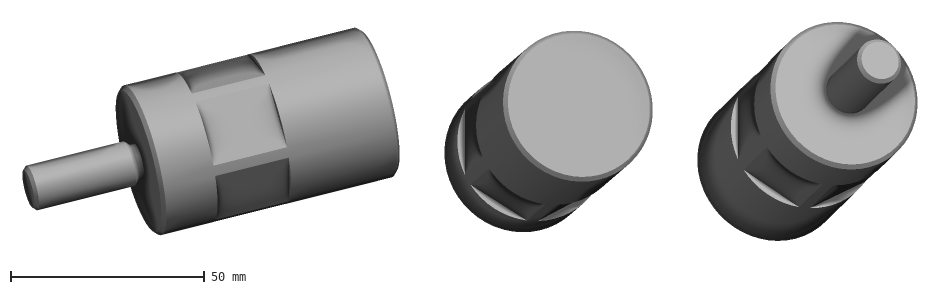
import cadquery as cq

total_length = 95.0
body_length = 65.0
stud_length = total_length - body_length

body_diameter = 40.0
body_chamfer = 1.0

across_flats = 36.0
flat_count = 6
flats_length = 20.0
collar_length = 15.0

stud_diameter = 12.0
stud_tip_diameter = 10.1
neck_diameter = 9.4
neck_length = 1.3
stud_chamfer = (stud_diameter - stud_tip_diameter) / 2
neck_taper = (stud_diameter - neck_diameter) / 2


def make_turned_blank():
    """Revolve body, neck and stud about Y; the stud-side body face is at Y = 0."""
    body_radius = body_diameter / 2
    stud_radius = stud_diameter / 2
    neck_radius = neck_diameter / 2
    profile = [
        (0, -stud_length),
        (stud_tip_diameter / 2, -stud_length),
        (stud_radius, -stud_length + stud_chamfer),
        (stud_radius, -neck_length - neck_taper),
        (neck_radius, -neck_length),
        (neck_radius, 0),
        (body_radius - body_chamfer, 0),
        (body_radius, body_chamfer),
        (body_radius, body_length - body_chamfer),
        (body_radius - body_chamfer, body_length),
        (0, body_length),
    ]
    return cq.Workplane("XY").polyline(profile).close().revolve(360, (0, 0, 0), (0, 1, 0))


def cut_wrench_flats(part):
    """Cut flats evenly around the body, the first one facing +X."""
    cutter_depth = body_diameter - across_flats
    cutter = cq.Workplane("XY").box(
        cutter_depth, flats_length, body_diameter, centered=(False, False, True)
    ).translate((across_flats / 2, collar_length, 0))
    for index in range(flat_count):
        angle = index * 360 / flat_count
        part = part.cut(cutter.rotate((0, 0, 0), (0, 1, 0), angle))
    return part


result = cut_wrench_flats(make_turned_blank())